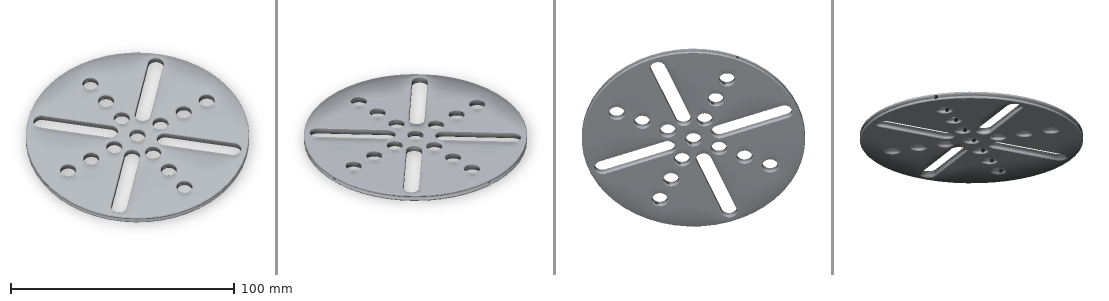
import cadquery as cq
pitch = 12.5

plate_diameter = 8 * pitch
plate_thickness = pitch / 4
edge_chamfer = 0.3

groove_depth = 1.0
groove_half_width = 0.767

hole_diameter = 7.0
holes_per_arm = 3

slot_inner_radius = pitch
slot_outer_radius = 3.5 * pitch
slot_angles = (45, 135, 225, 315)

cross_drill_diameter = 2.0
cross_drill_directions = ((1, 0, 0), (0, 1, 0))

plate_radius = plate_diameter / 2
bottom_plane = cq.Plane(origin=(0, 0, -plate_thickness / 2))


def make_plate():
    """Disc with every round hole and slot, chamfered along all top and bottom edges."""
    plate = cq.Workplane(bottom_plane).circle(plate_radius).extrude(plate_thickness)
    plate = plate.cut(make_hole_cutters())
    for angle in slot_angles:
        plate = plate.cut(make_slot_cutter(angle))
    return plate.faces("|Z").edges().chamfer(edge_chamfer)


def make_hole_cutters():
    """Rows of holes along X and Y that share the centre hole."""
    steps = range(-holes_per_arm, holes_per_arm + 1)
    x_row = [(step * pitch, 0) for step in steps]
    y_row = [(0, step * pitch) for step in steps if step != 0]
    return (
        cq.Workplane(bottom_plane)
        .pushPoints(x_row + y_row)
        .circle(hole_diameter / 2)
        .extrude(plate_thickness)
    )


def make_slot_cutter(angle):
    """Round-ended slot lying along the radius at the given angle from X."""
    overall_length = slot_outer_radius - slot_inner_radius + hole_diameter
    middle_radius = (slot_inner_radius + slot_outer_radius) / 2
    return (
        cq.Workplane(bottom_plane)
        .center(middle_radius, 0)
        .slot2D(overall_length, hole_diameter)
        .extrude(plate_thickness)
        .rotate((0, 0, 0), (0, 0, 1), angle)
    )


def make_rim_groove_cutter():
    """Ring with a triangular section whose point faces inward at mid-thickness."""
    return (
        cq.Workplane("XZ")
        .moveTo(plate_radius - groove_depth, 0)
        .lineTo(plate_radius, groove_half_width)
        .lineTo(plate_radius, -groove_half_width)
        .close()
        .revolve(360, (0, 0, 0), (0, 1, 0))
    )


def make_cross_drill(direction):
    """Rod along the direction; its seam faces Z, which keeps it off the groove's crease."""
    rod_plane = cq.Plane(origin=(0, 0, 0), xDir=(0, 0, 1), normal=direction)
    return (
        cq.Workplane(rod_plane)
        .circle(cross_drill_diameter / 2)
        .extrude(plate_diameter, both=True)
    )


result = make_plate().cut(make_rim_groove_cutter())
for drill_direction in cross_drill_directions:
    result = result.cut(make_cross_drill(drill_direction))